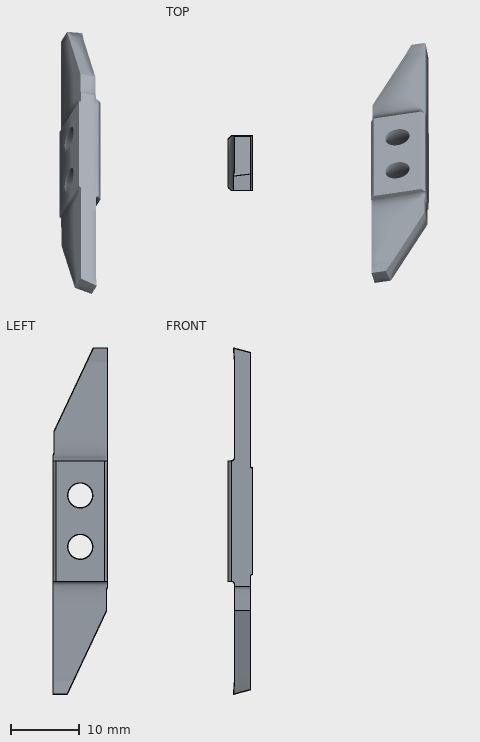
import cadquery as cq
import math

length = 50.5
width = 8.0
thickness = 3.6

front_pad_half_length = 8.8
front_pad_height = 0.95
front_pad_root_radius = 0.45
front_pad_chamfer = 0.5
back_pad_half_length = 7.8
back_pad_height = 0.3
back_pad_root_radius = 0.2

tip_length = 2.0
tip_flare = 0.15
tip_angle = math.radians(15)

tip_width = 2.1
taper_length = 12.2
relief_depth = 0.15
relief_radius = 0.8
relief_start = 9.56

hole_diameter = 3.6
hole_spacing = 7.5

half_length = length / 2
half_width = width / 2
blade_front_x = front_pad_height
blade_back_x = thickness - back_pad_height
tip_front_x = blade_front_x - tip_flare
tip_back_z = half_length - (blade_back_x - tip_front_x) * math.tan(tip_angle)


def concave_corner_middle(center_u, center_v, radius, sign_u, sign_v):
    """Point halfway along a quarter arc, on the given side of its centre."""
    offset = radius * math.sqrt(0.5)
    return center_u + sign_u * offset, center_v + sign_v * offset


def half_side_profile():
    """Upper half of the XZ side profile, extruded over the full width."""
    front_r = front_pad_root_radius
    back_r = back_pad_root_radius
    front_mid = concave_corner_middle(
        blade_front_x - front_r, front_pad_half_length + front_r, front_r, 1, -1
    )
    back_mid = concave_corner_middle(
        blade_back_x + back_r, back_pad_half_length + back_r, back_r, -1, -1
    )
    return (
        cq.Workplane("XZ")
        .lineTo(0, front_pad_half_length)
        .lineTo(blade_front_x - front_r, front_pad_half_length)
        .threePointArc(front_mid, (blade_front_x, front_pad_half_length + front_r))
        .lineTo(blade_front_x, half_length - tip_length)
        .lineTo(tip_front_x, half_length)
        .lineTo(blade_back_x, tip_back_z)
        .lineTo(blade_back_x, back_pad_half_length + back_r)
        .threePointArc(back_mid, (blade_back_x + back_r, back_pad_half_length))
        .lineTo(thickness, back_pad_half_length)
        .lineTo(thickness, 0)
        .close()
        .extrude(half_width, both=True)
    )


def half_outline():
    """Upper half of the YZ outline, extruded through the thickness."""
    relieved_y = half_width - relief_depth
    arc_length = math.sqrt(relief_radius**2 - (relief_radius - relief_depth) ** 2)
    relief_end = relief_start + arc_length
    half_sweep = math.acos(1 - relief_depth / relief_radius) / 2
    relief_mid = (
        relieved_y + relief_radius * (1 - math.cos(half_sweep)),
        relief_end - relief_radius * math.sin(half_sweep),
    )
    return (
        cq.Workplane("YZ")
        .moveTo(-half_width, 0)
        .lineTo(half_width, 0)
        .lineTo(half_width, relief_start)
        .threePointArc(relief_mid, (relieved_y, relief_end))
        .lineTo(relieved_y, half_length - taper_length)
        .lineTo(tip_width - half_width, half_length)
        .lineTo(-half_width, half_length)
        .close()
        .extrude(thickness)
    )


def blade_body():
    """Upper half joined to its copy turned half a turn about the X axis."""
    upper = half_side_profile().intersect(half_outline())
    lower = upper.rotate((0, 0, 0), (1, 0, 0), 180)
    return upper.union(lower).clean()


def mounting_holes():
    """Cylinders through the thickness, spaced along Z."""
    centers = [(0, -hole_spacing / 2), (0, hole_spacing / 2)]
    return cq.Workplane("YZ").pushPoints(centers).circle(hole_diameter / 2).extrude(thickness)


body = blade_body().faces("<X").edges("|Z").chamfer(front_pad_chamfer)
result = body.cut(mounting_holes())